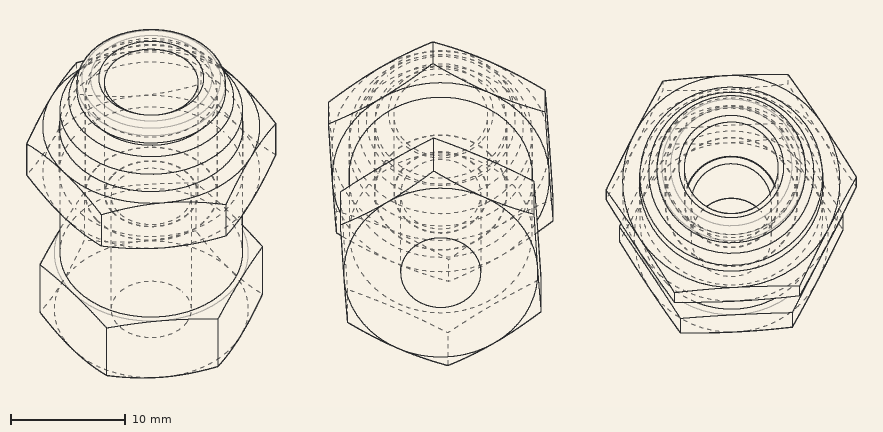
import cadquery as cq
import math


total_height = 28.5
barrel_diameter = 16.0
recess_diameter = 11.6
shoulder_z = 26.0
shoulder_diameter = 14.45
shoulder_taper_height = 1.4
through_diameter = 7.0
seat_diameter = 8.1
seat_cone_angle = 30
base_hex_flats = 17.0
base_hex_height = 6.98
base_top_chamfer_angle = 15
base_bottom_chamfer_angle = 30

nut_flats = 19.0
nut_bottom_z = 16.95
nut_height = 5.55
nut_bore_clearance = 0.1
nut_chamfer_angle = 30

collar_bottom_z = 14.25
sleeve_diameter = 11.5
collar_bore_diameter = 8.2
flange_diameter = 13.0
flange_bottom_z = 26.95
lip_diameter = 10.63
lip_slope_angle = 10
rim_radius = 0.5
flare_width = 0.48


def rise(width, angle):
    """Height gained over a horizontal width at a slope angle in degrees."""
    return width * math.tan(math.radians(angle))


def cylinder(diameter, bottom_z, top_z):
    return cq.Workplane("XY").workplane(offset=bottom_z).circle(diameter / 2).extrude(top_z - bottom_z)


def revolve_profile(profile):
    """Turn a closed (radius, z) profile around the Z axis."""
    return profile.close().revolve(360, (0, 0, 0), (0, 1, 0))


def chamfered_hex(flats, bottom_z, height, bottom_angle, top_angle):
    """Hexagon with corners on the X axis, its ends turned down to the inscribed circle."""
    corner_radius = flats / math.sqrt(3)
    inner_radius = flats / 2
    corner_width = corner_radius - inner_radius
    top_z = bottom_z + height
    prism = cq.Workplane("XY").workplane(offset=bottom_z).polygon(6, 2 * corner_radius).extrude(height)
    turned_blank = revolve_profile(
        cq.Workplane("XZ")
        .moveTo(0, bottom_z)
        .lineTo(inner_radius, bottom_z)
        .lineTo(corner_radius, bottom_z + rise(corner_width, bottom_angle))
        .lineTo(corner_radius, top_z - rise(corner_width, top_angle))
        .lineTo(inner_radius, top_z)
        .lineTo(0, top_z)
    )
    return prism.intersect(turned_blank)


def make_housing():
    barrel_radius = barrel_diameter / 2
    seat_depth = rise((seat_diameter - through_diameter) / 2, seat_cone_angle)
    base = chamfered_hex(
        base_hex_flats, 0, base_hex_height, base_bottom_chamfer_angle, base_top_chamfer_angle
    )
    barrel = revolve_profile(
        cq.Workplane("XZ")
        .lineTo(barrel_radius, 0)
        .lineTo(barrel_radius, shoulder_z - shoulder_taper_height)
        .lineTo(shoulder_diameter / 2, shoulder_z)
        .lineTo(0, shoulder_z)
    )
    bore = revolve_profile(
        cq.Workplane("XZ")
        .lineTo(through_diameter / 2, 0)
        .lineTo(through_diameter / 2, collar_bottom_z - seat_depth)
        .lineTo(seat_diameter / 2, collar_bottom_z)
        .lineTo(recess_diameter / 2, collar_bottom_z)
        .lineTo(recess_diameter / 2, shoulder_z)
        .lineTo(0, shoulder_z)
    )
    return base.union(barrel).cut(bore)


def make_nut():
    nut_bore_diameter = barrel_diameter + nut_bore_clearance
    blank = chamfered_hex(nut_flats, nut_bottom_z, nut_height, nut_chamfer_angle, nut_chamfer_angle)
    return blank.cut(cylinder(nut_bore_diameter, nut_bottom_z, nut_bottom_z + nut_height))


def make_collar():
    bore_radius = collar_bore_diameter / 2
    sleeve_radius = sleeve_diameter / 2
    flange_radius = flange_diameter / 2
    lip_radius = lip_diameter / 2
    slope = math.radians(lip_slope_angle)

    rim_center_radius = flange_radius - rim_radius
    rim_end_radius = rim_center_radius + rim_radius * math.sin(slope)
    rim_end_z = total_height - rise(rim_end_radius - lip_radius, lip_slope_angle)
    rim_center_z = rim_end_z - rim_radius * math.cos(slope)
    middle_angle = (math.pi / 2 - slope) / 2
    rim_middle = (
        rim_center_radius + rim_radius * math.cos(middle_angle),
        rim_center_z + rim_radius * math.sin(middle_angle),
    )
    return revolve_profile(
        cq.Workplane("XZ")
        .moveTo(bore_radius, collar_bottom_z)
        .lineTo(sleeve_radius, collar_bottom_z)
        .lineTo(sleeve_radius, flange_bottom_z)
        .lineTo(flange_radius, flange_bottom_z)
        .lineTo(flange_radius, rim_center_z)
        .threePointArc(rim_middle, (rim_end_radius, rim_end_z))
        .lineTo(lip_radius, total_height)
        .lineTo(bore_radius + flare_width, total_height)
        .lineTo(bore_radius, total_height - flare_width)
    )


housing = make_housing()
nut = make_nut()
collar = make_collar()

result = cq.Compound.makeCompound([*housing.solids().vals(), *nut.solids().vals(), collar.val()])